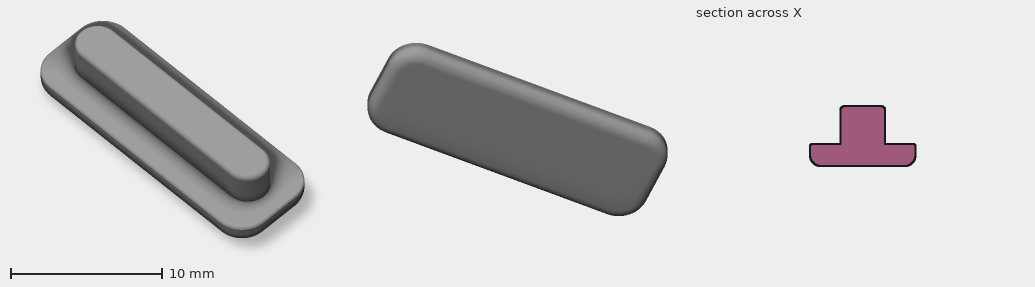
import cadquery as cq

plate_length = 20
plate_width = 7
plate_height = 1.5
plate_corner_radius = 2
plate_bottom_fillet = plate_height / 2
plate_top_chamfer = 0.1

key_length = 17
key_width = 3
total_height = 4
key_height = total_height - plate_height
key_top_fillet = 0.3


def make_plate():
    """Rounded rectangular plate resting on Z = 0, with softened rims."""
    plate = (
        cq.Workplane("XY")
        .rect(plate_length, plate_width)
        .extrude(plate_height)
        .edges("|Z")
        .fillet(plate_corner_radius)
    )
    plate = plate.faces("<Z").edges().fillet(plate_bottom_fillet)
    return plate.faces(">Z").edges().chamfer(plate_top_chamfer)


def make_key():
    """Long round-ended key standing on the plate, with a rounded top rim."""
    return (
        cq.Workplane("XY")
        .workplane(offset=plate_height)
        .slot2D(key_length, key_width)
        .extrude(key_height)
        .faces(">Z")
        .edges()
        .fillet(key_top_fillet)
    )


result = make_plate().union(make_key())